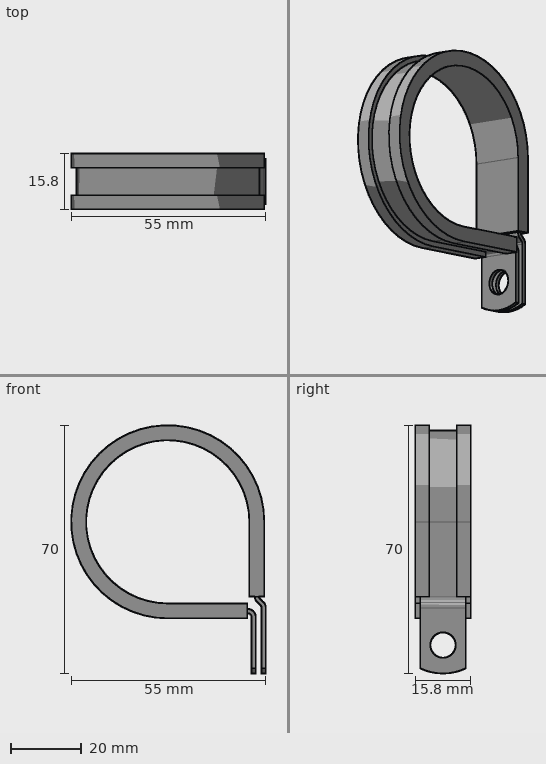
import cadquery as cq
import math


outer_radius = 27.25
cushion_thickness = 4.3
cushion_width = 15.8
vertical_leg_end = -21.1
horizontal_leg_end = 22.5
groove_width = 7.7
groove_depth = 1.5

strap_thickness = 1.25
tab_width = 12.9
tab_bottom = -42.8
tab_gap = 1.55
outer_tab_face = 27.7
joggle_height = 3.1
joggle_angle = math.radians(45)
hole_diameter = 7.1
hole_height = 8.05
end_sagitta = 1.5

inner_radius = outer_radius - cushion_thickness
strap_outer_radius = outer_radius - groove_depth
strap_inner_radius = strap_outer_radius - strap_thickness
strap_mid_radius = strap_outer_radius - strap_thickness / 2
outer_tab_mid = outer_tab_face - strap_thickness / 2
inner_tab_right = outer_tab_face - strap_thickness - tab_gap


def polar(center, radius, angle):
    """Point in the XZ plane at an angle measured from +X toward +Z."""
    return (center[0] + radius * math.cos(angle), center[1] + radius * math.sin(angle))


def loop_band(outside, inside, width):
    """Three quarters of a ring with a straight leg tangent to each end."""
    arc_middle = math.radians(135)
    profile = (
        cq.Workplane("XZ")
        .moveTo(outside, vertical_leg_end)
        .lineTo(outside, 0)
        .threePointArc(polar((0, 0), outside, arc_middle), (0, -outside))
        .lineTo(horizontal_leg_end, -outside)
        .lineTo(horizontal_leg_end, -inside)
        .lineTo(0, -inside)
        .threePointArc(polar((0, 0), inside, arc_middle), (inside, 0))
        .lineTo(inside, vertical_leg_end)
        .close()
    )
    return profile.extrude(width / 2, both=True)


def inner_tab():
    """Strap end leaving the horizontal leg and bending a quarter turn downward."""
    bend_outer = inner_tab_right - horizontal_leg_end
    bend_inner = bend_outer - strap_thickness
    center = (horizontal_leg_end, -strap_inner_radius - bend_outer)
    middle = math.radians(45)
    profile = (
        cq.Workplane("XZ")
        .moveTo(horizontal_leg_end, -strap_inner_radius)
        .threePointArc(polar(center, bend_outer, middle), polar(center, bend_outer, 0))
        .lineTo(inner_tab_right, tab_bottom)
        .lineTo(inner_tab_right - strap_thickness, tab_bottom)
        .lineTo(*polar(center, bend_inner, 0))
        .threePointArc(polar(center, bend_inner, middle), (horizontal_leg_end, -strap_outer_radius))
        .close()
    )
    return profile.extrude(tab_width / 2, both=True)


def outer_tab():
    """Strap end leaving the vertical leg through an outward S-shaped joggle."""
    offset = outer_tab_mid - strap_mid_radius
    bend_radius = (joggle_height - offset) / (
        2 * (math.sin(joggle_angle) + math.cos(joggle_angle) - 1)
    )
    upper_center = (strap_mid_radius + bend_radius, vertical_leg_end)
    lower_center = (outer_tab_mid - bend_radius, vertical_leg_end - joggle_height)
    half = strap_thickness / 2
    upper_left = bend_radius + half
    upper_right = bend_radius - half
    lower_left = bend_radius - half
    lower_right = bend_radius + half
    upper_end = math.pi + joggle_angle
    upper_middle = math.pi + joggle_angle / 2
    profile = (
        cq.Workplane("XZ")
        .moveTo(*polar(upper_center, upper_left, math.pi))
        .threePointArc(
            polar(upper_center, upper_left, upper_middle),
            polar(upper_center, upper_left, upper_end),
        )
        .lineTo(*polar(lower_center, lower_left, joggle_angle))
        .threePointArc(
            polar(lower_center, lower_left, joggle_angle / 2),
            polar(lower_center, lower_left, 0),
        )
        .lineTo(outer_tab_face - strap_thickness, tab_bottom)
        .lineTo(outer_tab_face, tab_bottom)
        .lineTo(*polar(lower_center, lower_right, 0))
        .threePointArc(
            polar(lower_center, lower_right, joggle_angle / 2),
            polar(lower_center, lower_right, joggle_angle),
        )
        .lineTo(*polar(upper_center, upper_right, upper_end))
        .threePointArc(
            polar(upper_center, upper_right, upper_middle),
            polar(upper_center, upper_right, math.pi),
        )
        .close()
    )
    return profile.extrude(tab_width / 2, both=True)


def tab_outline():
    """Tab shape seen along X: straight sides, bowed lower end and a bolt hole."""
    half_width = tab_width / 2
    corner_height = tab_bottom + end_sagitta
    outline = (
        cq.Workplane("YZ")
        .moveTo(-half_width, 0)
        .lineTo(-half_width, corner_height)
        .threePointArc((0, tab_bottom), (half_width, corner_height))
        .lineTo(half_width, 0)
        .close()
        .extrude(outer_tab_face)
    )
    hole = (
        cq.Workplane("YZ")
        .center(0, tab_bottom + hole_height)
        .circle(hole_diameter / 2)
        .extrude(outer_tab_face)
    )
    return outline.cut(hole)


cushion = loop_band(outer_radius, inner_radius, cushion_width)
groove = loop_band(outer_radius, strap_outer_radius, groove_width)
clamp_loop = cushion.cut(groove)

result = clamp_loop
for tab in (inner_tab(), outer_tab()):
    result = result.union(tab.intersect(tab_outline()))